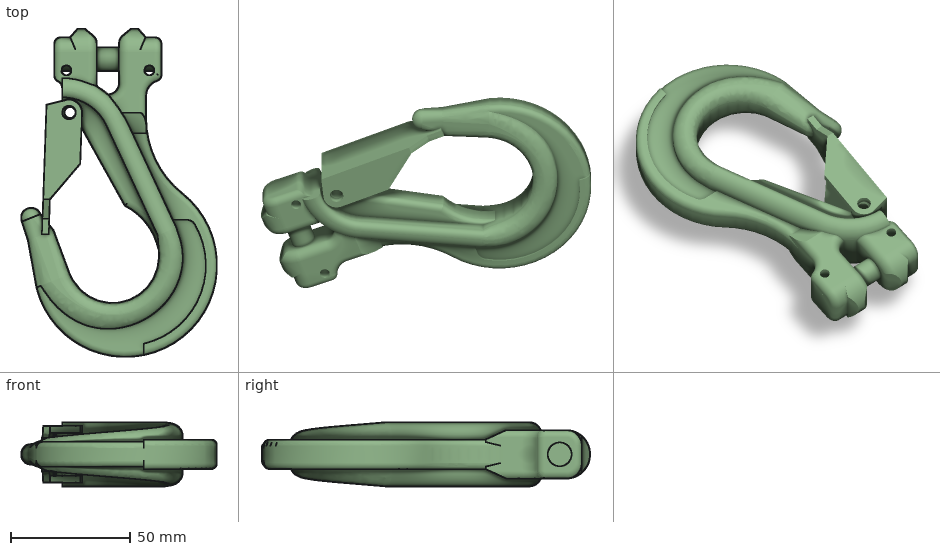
import cadquery as cq
import math


bowl_center = (2.0, 3.0)
bowl_radius = 19.4
outer_radius = 38.5
outer_center = (7.33, -0.6)
rib_half_height = 13.52
strap_inset = 1.5
rib_width = 10.0
inner_corner = 2.8
outer_corner = 5.5
strap_angle = 25.0
strap_length = 51.0
crown_radius = 19.0
arm_angle = -158.0
arm_rib_half_height = 7.2
bowl_corner = 4.7
bowl_crest_flat = 0.45
bowl_side_flat = 0.35
widening_angle = -70.0
bowl_spans = 7

rim_half_height = 6.2
floor_half_height = 5.2
rim_inner_radius = 33.8
rim_end_x = 15.0
recess_top_y = 18.5
recess_corner = 4.0
plate_fillet = 2.5
back_x = 16.1
back_blend_radius = 40.0
plate_top_y = 66.0

pin_y = 85.9
pin_diameter = 10.0
ear_half_width = 22.55
ear_half_height = 10.2
ear_shoulder_y = 95.1
ear_bottom_y = 77.0
ear_edge_fillet = 2.9
ear_end_radius = 6.3
peak_x = 11.2
peak_y = 98.67
peak_top_half_width = 1.5
peak_inner_y = 94.4
peak_outer_x = 15.8
peak_foot_x = 13.0
slot_half_width = 4.65
slot_center_y = 75.8
slot_fillet = 3.7
neck_left_x = -19.2
ramp_top_y = 63.5
ramp_bottom_y = 54.8
cross_hole_x = 17.4
cross_hole_y = 81.2
cross_hole_diameter = 4.1

pivot = (-16.3, 63.5)
web_half_height = 5.9
web_boss_half_height = 8.9
web_fillet = 2.5
web_edge_top_x = -14.6
web_edge_knee = (7.1, 24.4)
web_edge_bend = (17.6, 14.9)
web_foot_angle = 10.0
web_boss_radius = 5.4
web_hole_diameter = 4.6
web_hole_shift = 0.45
latch_half_width = 11.9
latch_thickness = 2.9
latch_tilt = -2.0
latch_eye_radius = 5.5
latch_hole_diameter = 5.7
latch_back = 9.6
latch_top_slope = 16.0
latch_leg_straight = 21.3
latch_leg_end = 36.7
latch_taper_end = 44.9
latch_bottom = 51.4
latch_tongue_half_width = 7.0

tip_radius = 4.25
tip_center = (-36.45 + tip_radius, 19.3)
seat_center = (-28.2, 12.0)
seat_width = 11.6
seat_half_height = 4.6
seat_corner = 3.5
neck_corner = 3.8
arm_direction = 112.0
arm_root_width = 15.1

big = 200.0


def polar(center, radius, degrees):
    a = math.radians(degrees)
    return (center[0] + radius * math.cos(a), center[1] + radius * math.sin(a))


def midpoint(a, b):
    return ((a[0] + b[0]) / 2, (a[1] + b[1]) / 2)


def fillet_near(body, places, radius):
    """Round the edges of the flat faces whose middles lie at the given XY places."""
    edges = [
        edge for edge in body.faces("|Z").edges().vals()
        if any(math.dist(edge.positionAt(0.5).toTuple()[:2], place) < 0.1 for place in places)
    ]
    return body.newObject(edges).fillet(radius)


def prism(outline, half_height):
    """Extrude a closed outline equally above and below Z = 0."""
    return outline.extrude(half_height, both=True)


def block(x0, x1, y0, y1, half_height):
    outline = cq.Workplane("XY").moveTo(x0, y0).lineTo(x1, y0).lineTo(x1, y1).lineTo(x0, y1).close()
    return prism(outline, half_height)


arm_inner = polar(bowl_center, bowl_radius, arm_angle)
arm_outer = polar(bowl_center, bowl_radius + arm_root_width, arm_angle)

strap_start = polar(bowl_center, bowl_radius, strap_angle)
strap_end = polar(strap_start, strap_length, strap_angle + 90)
crown_center = polar(strap_end, crown_radius, strap_angle + 180)


def strap_points(offset):
    """Bowl start, strap end, crown middle and crown top at a distance outside the bowl edge line."""
    radius = crown_radius + offset
    return (
        polar(bowl_center, bowl_radius + offset, strap_angle),
        polar(crown_center, radius, strap_angle),
        polar(crown_center, radius, (strap_angle + 90) / 2),
        polar(crown_center, radius, 90),
    )


def strap_rib():
    """Straight strap and the crown that curves over the latch pivot."""
    start, end, middle, top = strap_points(strap_inset)
    far_start, far_end, far_middle, far_top = strap_points(rib_width)
    outline = (
        cq.Workplane("XY").moveTo(*start).lineTo(*end).threePointArc(middle, top)
        .lineTo(*far_top).threePointArc(far_middle, far_end).lineTo(*far_start).close()
    )
    rib = prism(outline, rib_half_height)
    rib = fillet_near(rib, (midpoint(start, end), middle), inner_corner)
    return fillet_near(rib, (midpoint(far_start, far_end), far_middle), outer_corner)


def section(center, outward, width, half_height, inner, outer):
    """Rounded rectangle standing across the hook, its width along the outward direction.

    The corners on the bowl side have the inner radius, those on the far side the outer radius.
    """
    a = math.radians(outward)
    plane = cq.Plane(
        origin=(center[0], center[1], 0),
        xDir=(math.cos(a), math.sin(a), 0),
        normal=(math.sin(a), -math.cos(a), 0),
    )
    u = width / 2
    v = half_height
    outline = (
        cq.Workplane(plane).moveTo(-u + inner, -v).lineTo(u - outer, -v).radiusArc((u, -v + outer), -outer)
        .lineTo(u, v - outer).radiusArc((u - outer, v), -outer)
        .lineTo(-u + inner, v).radiusArc((-u, v - inner), -inner)
        .lineTo(-u, -v + inner).radiusArc((-u + inner, -v), -inner).close()
    )
    return outline.val()


def bowl_section(angle):
    """Rib section in the bowl; past the widening angle it grows to take in the whole arm."""
    part = (angle - strap_angle) / (arm_angle - strap_angle)
    height = rib_half_height + (arm_rib_half_height - rib_half_height) * part
    spread = max(0, (angle - widening_angle) / (arm_angle - widening_angle))
    width = rib_width + (arm_root_width - rib_width) * spread
    center = polar(bowl_center, bowl_radius + width / 2, angle)
    outer = min(width - bowl_corner - bowl_crest_flat, height - bowl_side_flat)
    return section(center, angle, width, height, bowl_corner, outer)


def bowl_rib():
    """Rib round the bowl, getting lower steadily from the strap to the tip arm."""
    width = rib_width - strap_inset
    first = polar(bowl_center, bowl_radius + strap_inset + width / 2, strap_angle)
    sections = [section(first, strap_angle, width, rib_half_height, inner_corner, outer_corner)]
    for i in range(1, bowl_spans + 1):
        sections.append(bowl_section(strap_angle + (arm_angle - strap_angle) * i / bowl_spans))
    return cq.Workplane(cq.Solid.makeLoft(sections))


def bowl_plate():
    """Plate from the rib out to the round outer edge, with a recessed floor inside a raised rim."""
    blend_x = back_x + back_blend_radius
    run = blend_x - outer_center[0]
    rise = math.sqrt((outer_radius + back_blend_radius) ** 2 - run**2)
    blend_center = (blend_x, outer_center[1] + rise)
    toward_blend = math.degrees(math.atan2(rise, run))
    blend_end = polar(outer_center, outer_radius, toward_blend)
    blend_middle = polar(blend_center, back_blend_radius, 180 + toward_blend / 2)
    rib_middle = bowl_radius + rib_width / 2
    bottom_angle = (strap_angle + arm_angle) / 2
    start, end, _, _ = strap_points(rib_width / 2)
    outline = (
        cq.Workplane("XY").moveTo(*start).lineTo(*end).lineTo(end[0], plate_top_y).lineTo(back_x, plate_top_y)
        .lineTo(back_x, blend_center[1]).threePointArc(blend_middle, blend_end)
        .threePointArc(polar(outer_center, outer_radius, bottom_angle), arm_outer)
        .lineTo(*polar(bowl_center, rib_middle, arm_angle))
        .threePointArc(polar(bowl_center, rib_middle, bottom_angle), start).close()
    )
    floor = round_rim(prism(outline, floor_half_height))
    rim = round_rim(prism(outline.toPending(), rim_half_height))
    inside_rim = prism(cq.Workplane("XY").center(*outer_center).circle(rim_inner_radius), big)
    recess = inside_rim.union(block(-big, rim_end_x, -big, recess_top_y, big))
    recess = recess.intersect(block(-big, big, -big, recess_top_y, big))
    recess = recess.edges("|Z").edges(">Y").fillet(recess_corner)
    return floor.union(rim.cut(recess))


def round_rim(plate):
    """Round the outer edge of the plate, from the straight back to the start of the tip arm."""
    edges = [
        edge for edge in plate.faces("|Z").edges().vals()
        if edge.geomType() == "CIRCLE" and edge.radius() > bowl_radius + rib_width
        or edge.geomType() == "LINE" and abs(edge.Center().x - back_x) < 0.01
    ]
    return plate.newObject(edges).fillet(plate_fillet)


def tip_arm():
    """Arm from the bowl plate to the ball tip."""
    root_center = midpoint(arm_outer, arm_inner)
    root = section(root_center, arm_angle, arm_root_width, floor_half_height, plate_fillet, plate_fillet)
    outward = arm_direction + 90
    seat = section(seat_center, outward, seat_width, seat_half_height, seat_corner, seat_corner)
    neck = section(tip_center, outward, 2 * tip_radius, tip_radius, neck_corner, neck_corner)
    arm = cq.Workplane(cq.Solid.makeLoft([root, seat], True))
    end = cq.Workplane(cq.Solid.makeLoft([seat, neck], True))
    crest_rib = cq.Workplane(cq.Solid.makeLoft([bowl_section(arm_angle), seat], True))
    ball = cq.Workplane("XY").sphere(tip_radius).translate((*tip_center, 0))
    return arm.union(end).union(crest_rib).union(ball)


def crown_interior():
    """Everything on the latch side of the rib's middle line."""
    start, end, middle, top = strap_points(rib_width / 2)
    return prism(
        cq.Workplane("XY").moveTo(*start).lineTo(*end).threePointArc(middle, top)
        .lineTo(neck_left_x - rib_width, top[1]).lineTo(neck_left_x - rib_width, start[1]).close(),
        big,
    )


def ear_peak(side):
    """Rounded peak on the end of one ear, reaching from the slot wall outward."""
    outline = (
        cq.Workplane("XY").moveTo(side * slot_half_width, pin_y)
        .lineTo(side * slot_half_width, peak_inner_y)
        .lineTo(side * (peak_x - peak_top_half_width), peak_y)
        .lineTo(side * (peak_x + peak_top_half_width), peak_y)
        .lineTo(side * peak_outer_x, ear_shoulder_y).lineTo(side * peak_foot_x, peak_y - ear_half_height)
        .lineTo(side * peak_foot_x, pin_y).close()
    )
    round_end_y = peak_y - ear_half_height
    round_end = cq.Workplane("YZ").center(round_end_y, 0).circle(ear_half_height).extrude(big, both=True)
    peak = prism(outline, ear_half_height).intersect(round_end)
    slot_wall = "<X" if side > 0 else ">X"
    return peak.faces(slot_wall).edges(">Y or >Z or <Z").fillet(slot_fillet)


def clevis():
    """Two ears with peaked ends, the slot between them and the shank that thins down to the plate."""
    corner = ear_half_width - back_x
    left_corner = ear_half_width + neck_left_x
    outline = (
        cq.Workplane("XY").moveTo(-ear_half_width, ear_shoulder_y).lineTo(-ear_half_width, ear_bottom_y)
        .radiusArc((neck_left_x, ear_bottom_y - left_corner), left_corner).lineTo(neck_left_x, ramp_bottom_y)
        .lineTo(back_x, ramp_bottom_y).lineTo(back_x, ear_bottom_y - corner)
        .radiusArc((ear_half_width, ear_bottom_y), corner)
        .lineTo(ear_half_width, ear_shoulder_y).close()
    )
    body = prism(outline, ear_half_height)
    body = body.faces(">Y").edges("|X").fillet(ear_end_radius)
    body = body.faces("<X or >X").edges().fillet(ear_edge_fillet)
    back_edges = cq.selectors.BoxSelector(
        (back_x - 1, ramp_bottom_y, -big), (ear_half_width - 1, ear_bottom_y - 0.5, big)
    )
    body = body.edges(back_edges).edges("not |Z").fillet(ear_edge_fillet)
    slot = (
        cq.Workplane("XY").moveTo(-slot_half_width, big).lineTo(-slot_half_width, slot_center_y)
        .radiusArc((slot_half_width, slot_center_y), -slot_half_width).lineTo(slot_half_width, big).close()
    )
    body = body.cut(prism(slot, big))
    mouth = cq.selectors.BoxSelector(
        (-slot_half_width - 0.1, slot_center_y - slot_half_width - 1, -big), (slot_half_width + 0.1, big, big)
    )
    body = body.edges(mouth).edges("not(|Z)").fillet(slot_fillet)
    for side in (-1, 1):
        body = body.union(ear_peak(side))
    ramp = (
        cq.Workplane("YZ").moveTo(ramp_top_y, ear_half_height).lineTo(ramp_bottom_y, rim_half_height)
        .lineTo(ramp_bottom_y, ear_half_height).close().extrude(big, both=True)
    )
    body = body.cut(ramp).cut(ramp.mirror("XY"))
    return body.cut(crown_interior())


def pivot_web():
    """Web under the latch legs, between the rib and the latch pivot."""
    start, end, crown_middle, top = strap_points(rib_width / 2)
    edge_top = (web_edge_top_x, pivot[1])
    foot = polar(bowl_center, bowl_radius, web_foot_angle)
    outline = (
        cq.Workplane("XY").moveTo(*start).lineTo(*end).threePointArc(crown_middle, top)
        .lineTo(neck_left_x, pivot[1]).lineTo(*edge_top)
        .lineTo(*web_edge_knee).threePointArc(web_edge_bend, foot).close()
    )
    web = prism(outline, web_half_height)
    bend = web.edges("%CIRCLE").edges(cq.selectors.NearestToPointSelector((*web_edge_bend, web_half_height)))
    web_edge_bend_middle = bend.val().positionAt(0.5).toTuple()[:2]
    web = fillet_near(web, (midpoint(edge_top, web_edge_knee), web_edge_bend_middle), web_fillet)
    boss = prism(cq.Workplane("XY").center(*pivot).circle(web_boss_radius), web_boss_half_height)
    hole = cq.Workplane("XY").center(pivot[0] + web_hole_shift, pivot[1]).circle(web_hole_diameter / 2)
    return web.union(boss).cut(prism(hole, big))


def safety_latch():
    """Bent plate: two legs on the pivot, a flat back and a narrow tongue that rests on the hook tip."""
    slope = math.tan(math.radians(latch_top_slope))
    touch = polar((0, 0), latch_eye_radius, 90 + latch_top_slope)
    inner_face = latch_thickness - latch_back
    side = (
        cq.Workplane("XY").moveTo(-latch_back, -latch_bottom)
        .lineTo(-latch_back, touch[1] - slope * (touch[0] + latch_back)).lineTo(*touch)
        .threePointArc(polar((0, 0), latch_eye_radius, 45), (latch_eye_radius, 0))
        .lineTo(latch_eye_radius, -latch_leg_straight).lineTo(inner_face, -latch_leg_end)
        .lineTo(inner_face, -latch_bottom).close()
    )
    latch = prism(side, latch_half_width)
    channel = block(inner_face, big, -big, big, latch_half_width - latch_thickness)
    eye = prism(cq.Workplane("XY").circle(latch_hole_diameter / 2), big)
    front = (
        cq.Workplane("YZ").moveTo(big, latch_half_width).lineTo(-latch_leg_end, latch_half_width)
        .lineTo(-latch_taper_end, latch_tongue_half_width).lineTo(-latch_bottom, latch_tongue_half_width)
        .lineTo(-latch_bottom, -latch_tongue_half_width).lineTo(-latch_taper_end, -latch_tongue_half_width)
        .lineTo(-latch_leg_end, -latch_half_width).lineTo(big, -latch_half_width).close()
        .extrude(big, both=True)
    )
    latch = latch.cut(channel).cut(eye).intersect(front)
    return latch.rotate((0, 0, 0), (0, 0, 1), latch_tilt).translate((*pivot, 0))


def load_pin():
    """Plain pin through both ears, flush with their outer faces."""
    return cq.Workplane("YZ").center(pin_y, 0).circle(pin_diameter / 2).extrude(ear_half_width, both=True)


def hook_body(pin, latch):
    """One forging: clevis, rib, plate, web and tip, with seats for the pin and the latch."""
    body = clevis()
    for part in (bowl_plate(), strap_rib(), pivot_web(), bowl_rib(), tip_arm()):
        body = body.union(part)
    for side in (-1, 1):
        hole = cq.Workplane("XY").center(side * cross_hole_x, cross_hole_y).circle(cross_hole_diameter / 2)
        body = body.cut(prism(hole, big))
    return body.cut(pin).cut(latch)


pin = load_pin()
latch = safety_latch()
hook = hook_body(pin, latch)

result = cq.Compound.makeCompound([*hook.vals(), pin.val(), latch.val()])